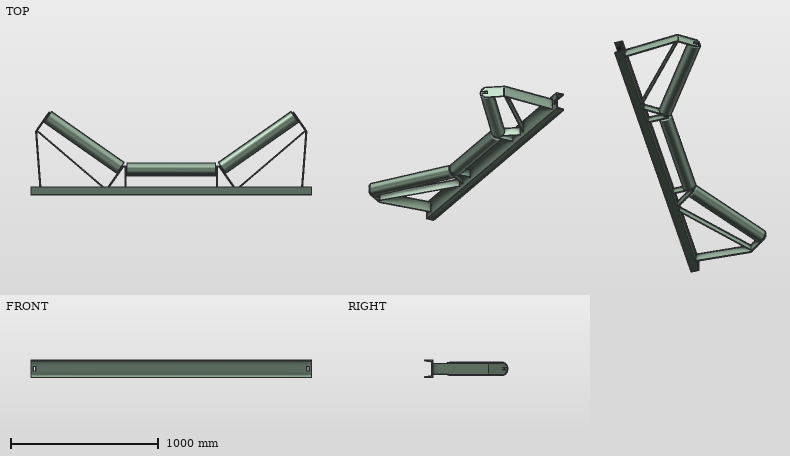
import cadquery as cq
import math


CHANNEL_LENGTH = 1900.0
CHANNEL_HEIGHT = 120.0
CHANNEL_DEPTH = 55.0
WEB_THICKNESS = 7.0
FLANGE_MEAN_THICKNESS = 10.0
FLANGE_TAPER = 0.08
ROOT_RADIUS = 9.0
TIP_RADIUS = 6.6
SLOT_WIDTH = 17.0
SLOT_HEIGHT = 28.0
SLOT_INSET = 27.0

ROLLER_DIAMETER = 90.0
ROLLER_LENGTH = 600.0
ROLLER_EDGE_RADIUS = 2.8
AXLE_SIZE = 15.0
TROUGH_ANGLE = 35.0
CENTER_ROLLER_Y = 173.0
WING_ROLLER_X = 589.0
WING_ROLLER_Y = 355.0

STRIP_THICKNESS = 8.0
OUTER_BRACKET_WIDTH = 75.0
INNER_BRACKET_WIDTH = 55.0
PLATE_GAP = 4.8
BEND_RADIUS = 19.0
OUTER_FOOT_X = 885.0
OUTER_BEND_DROP = 125.0
OUTER_TIP_RISE = 30.0
OUTER_TIP_CHAMFER = 17.0
INNER_TOP_Y = 192.0
STRUT_THICKNESS = 4.8
STRUT_WIDTH = 53.0
STRUT_TOP_DROP = 118.0
STRUT_FOOT_X = 464.0

tilt = math.radians(TROUGH_ANGLE)
plate_reach = ROLLER_LENGTH / 2 + PLATE_GAP + STRIP_THICKNESS / 2
axle_reach = plate_reach + STRIP_THICKNESS / 2


def wing_point(along, rise):
    """Point in the XY plane: along the left wing roller's axis (inwards) and square to it (upwards)."""
    x = -WING_ROLLER_X + along * math.cos(tilt) + rise * math.sin(tilt)
    y = WING_ROLLER_Y - along * math.sin(tilt) + rise * math.cos(tilt)
    return (x, y)


def wing_rise_at(along, y):
    """Rise square to the left wing roller's axis at which a point reaches height y."""
    return (y - WING_ROLLER_Y + along * math.sin(tilt)) / math.cos(tilt)


def place_on_wing(body):
    """Move a body built about the origin, with its axis along X, onto the left wing roller's axis."""
    return body.rotate((0, 0, 0), (0, 0, 1), -TROUGH_ANGLE).translate((-WING_ROLLER_X, WING_ROLLER_Y, 0))


def mirrored(body):
    return body.mirror("YZ")


def offset_path(path, distance):
    """Shift an open path sideways to its left, with mitred corners."""
    headings = [math.atan2(b[1] - a[1], b[0] - a[0]) for a, b in zip(path, path[1:])]
    before = headings[:1] + headings
    after = headings + headings[-1:]
    shifted = []
    for (x, y), first, second in zip(path, before, after):
        middle = (first + second) / 2
        reach = distance / math.cos((second - first) / 2)
        shifted.append((x - reach * math.sin(middle), y + reach * math.cos(middle)))
    return shifted


def strip(path, thickness, width):
    """Flat bar bent along a path in the XY plane, centred on the path and on Z = 0."""
    left_side = offset_path(path, thickness / 2)
    right_side = offset_path(path, -thickness / 2)
    outline = left_side + right_side[::-1]
    return cq.Workplane("XY", origin=(0, 0, -width / 2)).polyline(outline).close().extrude(width)


def foot_inside_channel(start, foot_x):
    """Point where the line from start through a foot on the web carries on half-way into the channel."""
    run = (start[1] - CHANNEL_DEPTH / 2) / (start[1] - CHANNEL_DEPTH)
    return (start[0] + run * (foot_x - start[0]), CHANNEL_DEPTH / 2)


def trim_at_web(body):
    """Cut a foot off flush with the back of the channel's web."""
    envelope = cq.Workplane("XY").box(CHANNEL_LENGTH, CHANNEL_DEPTH, CHANNEL_HEIGHT)
    return body.cut(envelope.translate((0, CHANNEL_DEPTH / 2, 0)))


def make_channel():
    half = CHANNEL_HEIGHT / 2
    web_face = CHANNEL_DEPTH - WEB_THICKNESS
    taper_rise = FLANGE_TAPER * web_face / 2
    root_z = half - FLANGE_MEAN_THICKNESS - taper_rise
    tip_z = half - FLANGE_MEAN_THICKNESS + taper_rise
    section = [
        (CHANNEL_DEPTH, -half), (CHANNEL_DEPTH, half), (0, half), (0, tip_z),
        (web_face, root_z), (web_face, -root_z), (0, -tip_z), (0, -half),
    ]
    beam_end = cq.Workplane("YZ", origin=(-CHANNEL_LENGTH / 2, 0, 0))
    beam = beam_end.polyline(section).close().extrude(CHANNEL_LENGTH)
    for side in (-1, 1):
        beam = beam.edges(cq.NearestToPointSelector((0, web_face, side * root_z))).fillet(ROOT_RADIUS)
        beam = beam.edges(cq.NearestToPointSelector((0, 0, side * tip_z))).fillet(TIP_RADIUS)
    slot_x = CHANNEL_LENGTH / 2 - SLOT_INSET
    slots = (
        cq.Workplane("XZ").pushPoints([(-slot_x, 0), (slot_x, 0)])
        .rect(SLOT_WIDTH, SLOT_HEIGHT).extrude(-CHANNEL_DEPTH)
    )
    return beam.cut(slots)


def make_axle():
    return cq.Workplane("XY").box(2 * axle_reach, AXLE_SIZE, AXLE_SIZE)


def make_roller():
    """Roller along X about the origin, with square axle ends."""
    shell_end = cq.Workplane("YZ", origin=(-ROLLER_LENGTH / 2, 0, 0))
    shell = shell_end.circle(ROLLER_DIAMETER / 2).extrude(ROLLER_LENGTH)
    shell = shell.faces("<X or >X").edges().fillet(ROLLER_EDGE_RADIUS)
    return shell.union(make_axle())


def place_in_center(body):
    return body.translate((0, CENTER_ROLLER_Y, 0))


outer_bend = wing_point(-plate_reach, -OUTER_BEND_DROP)


def make_outer_bracket():
    """Left outer bracket: leaning leg, bent square to the wing roller, with an open axle slot."""
    tip = wing_point(-plate_reach, OUTER_TIP_RISE)
    path = [foot_inside_channel(outer_bend, -OUTER_FOOT_X), outer_bend, tip]
    bracket = strip(path, STRIP_THICKNESS, OUTER_BRACKET_WIDTH)
    for offset in (-STRIP_THICKNESS / 2, STRIP_THICKNESS / 2):
        corner = (*offset_path(path, offset)[1], 0)
        bracket = bracket.edges(cq.NearestToPointSelector(corner)).fillet(BEND_RADIUS + offset)
    for side in (-1, 1):
        corner = (tip[0], tip[1], side * OUTER_BRACKET_WIDTH / 2)
        bracket = bracket.edges(cq.NearestToPointSelector(corner)).chamfer(OUTER_TIP_CHAMFER)
    slot_top = 2 * OUTER_TIP_RISE
    slot_bottom = -AXLE_SIZE / 2
    slot = cq.Workplane("XY").box(2 * axle_reach, slot_top - slot_bottom, AXLE_SIZE)
    slot = slot.translate((0, (slot_top + slot_bottom) / 2, 0))
    return trim_at_web(bracket.cut(place_on_wing(slot)))


def make_inner_bracket():
    """Left inner bracket: sloped leg for the wing roller, upright leg for the centre roller."""
    foot_y = CHANNEL_DEPTH / 2
    top_rise = wing_rise_at(plate_reach, INNER_TOP_Y)
    foot_rise = wing_rise_at(plate_reach, foot_y)
    path = [
        wing_point(plate_reach, foot_rise),
        wing_point(plate_reach, top_rise),
        (-plate_reach, INNER_TOP_Y),
        (-plate_reach, foot_y),
    ]
    bracket = trim_at_web(strip(path, STRIP_THICKNESS, INNER_BRACKET_WIDTH))
    return bracket.cut(place_on_wing(make_axle())).cut(place_in_center(make_axle()))


def make_strut(bracket):
    """Left strut from the bend of the outer bracket down to the web."""
    top = wing_point(-plate_reach, -STRUT_TOP_DROP)
    strut = strip([top, foot_inside_channel(top, -STRUT_FOOT_X)], STRUT_THICKNESS, STRUT_WIDTH)
    return trim_at_web(strut.cut(bracket))


channel = make_channel()
center_roller = place_in_center(make_roller())
wing_roller = place_on_wing(make_roller())
outer_bracket = make_outer_bracket()
inner_bracket = make_inner_bracket()
strut = make_strut(outer_bracket)

bodies = [channel.val(), center_roller.val()]
for left_body in (wing_roller, outer_bracket, inner_bracket, strut):
    bodies.append(left_body.val())
    bodies.append(mirrored(left_body).val())

result = cq.Compound.makeCompound(bodies)